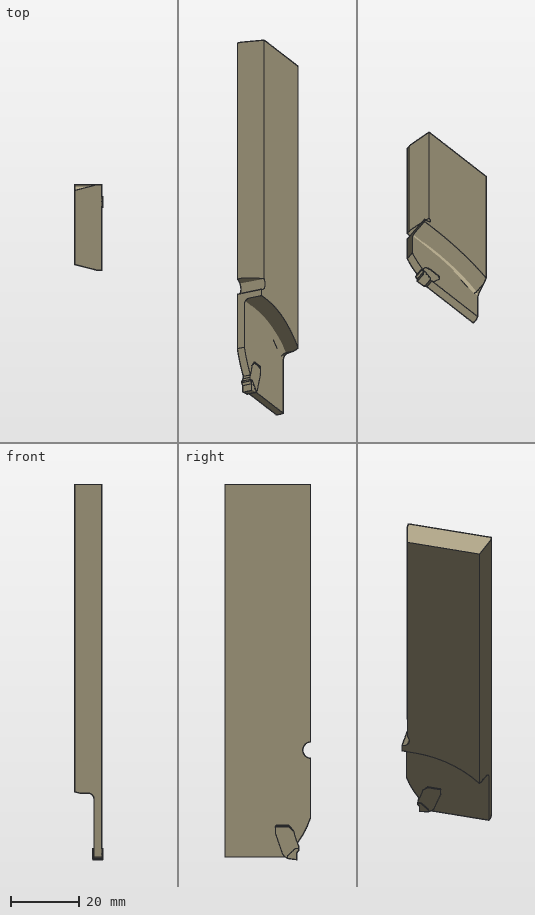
import cadquery as cq
import math


thickness = 8.0
width = 25.1
top_z = 110.0
bottom_z = 0.8
flat_height = 1.4
bevel_depth = 1.7

notch_radius = 2.4
notch_y = 0.15
notch_z = 32.15

blade_thickness = 2.36
recess_depth = thickness - blade_thickness
recess_top_z = 27.7
recess_arc_start_y = -4.0
recess_arc_radius = 28.0
recess_arc_angle = math.radians(45)
recess_fillet = 1.65
overrun = 5.0

nose_start = (0.0, 12.3)
nose_mid = (-1.65, 8.4)
nose_end = (-4.4, 4.2)
nose_bottom_y = -6.9

head_width = 3.0
insert_top_z = 9.7
seat_gap = 0.4
insert_top_front_y = -6.4
insert_top_back_y = -10.1
heel = [(-10.3, 9.6), (-10.3, 7.8), (-8.2, 1.65), (-7.5, 0.85)]
front_flank = [(-3.45, 4.0), (-4.3, 6.1), (-4.95, 8.4)]
head_top_front = (-3.4, 3.3)
shoulder = [(-4.5, 3.3), (-6.7, 1.2)]
head_back = (-6.7, 0.35)
head_corner_radius = 0.25
cutting_tip = (-4.0, 0.0)
rake_foot = (-4.0, 2.1)
chip_breaker = (-3.4, 2.8)


def prism(points, start_x, length):
    """Closed polygon of (Y, Z) points, extruded along +X."""
    return cq.Workplane("YZ", origin=(start_x, 0, 0)).polyline(points).close().extrude(length)


def make_shank():
    flat_x = thickness - flat_height
    section = [
        (0, -bevel_depth),
        (flat_x, 0),
        (thickness, 0),
        (thickness, -width),
        (flat_x, -width),
        (0, bevel_depth - width),
    ]
    shank = (
        cq.Workplane("XY", origin=(0, 0, bottom_z))
        .polyline(section).close().extrude(top_z - bottom_z)
    )
    square_edge = prism(
        [(0, bottom_z), (0, notch_z), (-bevel_depth, notch_z), (-bevel_depth, bottom_z)],
        0,
        thickness,
    )
    return shank.union(square_edge)


def make_notch():
    return cq.Workplane("YZ").center(notch_y, notch_z).circle(notch_radius).extrude(thickness)


def arc_point(angle):
    """Point on the recess wall arc, at an angle from its topmost point."""
    return (
        recess_arc_start_y - recess_arc_radius * math.sin(angle),
        recess_top_z - recess_arc_radius * (1 - math.cos(angle)),
    )


def make_recess():
    wall_end = arc_point(recess_arc_angle)
    recess = (
        cq.Workplane("YZ", origin=(-overrun, 0, 0))
        .moveTo(overrun, recess_top_z)
        .lineTo(recess_arc_start_y, recess_top_z)
        .threePointArc(arc_point(recess_arc_angle / 2), wall_end)
        .lineTo(-width - overrun, wall_end[1])
        .lineTo(-width - overrun, -overrun)
        .lineTo(overrun, -overrun)
        .close()
        .extrude(recess_depth + overrun)
    )
    wall_foot = recess.faces(">X").edges(
        cq.selectors.BoxSelector((0, -width - overrun / 2, bottom_z), (thickness, overrun / 2, top_z))
    )
    return wall_foot.fillet(recess_fillet)


def make_nose_cut():
    return (
        cq.Workplane("YZ")
        .moveTo(*nose_start)
        .threePointArc(nose_mid, nose_end)
        .lineTo(nose_bottom_y, bottom_z)
        .lineTo(overrun, bottom_z)
        .lineTo(overrun, nose_start[1])
        .close()
        .extrude(thickness)
    )


def insert_outline(end_z):
    """Outline of the insert body with its flat upper end at the given height."""
    top = [(insert_top_front_y, end_z), (insert_top_back_y, end_z)]
    return top + heel + [head_back, rake_foot, chip_breaker] + front_flank


def make_insert():
    body = prism(insert_outline(insert_top_z), recess_depth, blade_thickness)
    head_outline = [head_top_front, *shoulder, head_back, cutting_tip, rake_foot, chip_breaker]
    head_x = recess_depth + (blade_thickness - head_width) / 2
    head = prism(head_outline, head_x, head_width)
    underside_y = (cutting_tip[0] + head_back[0]) / 2
    underside_z = (cutting_tip[1] + head_back[1]) / 2
    for side_x in (head_x, head_x + head_width):
        lower_edge = cq.selectors.NearestToPointSelector((side_x, underside_y, underside_z))
        head = head.edges(lower_edge).fillet(head_corner_radius)
    return body.union(head)


holder = make_shank().cut(make_notch()).cut(make_recess()).cut(make_nose_cut())
holder = holder.cut(prism(insert_outline(insert_top_z + seat_gap), recess_depth, blade_thickness))
insert = make_insert()

result = cq.Compound.makeCompound([holder.val(), insert.val()])